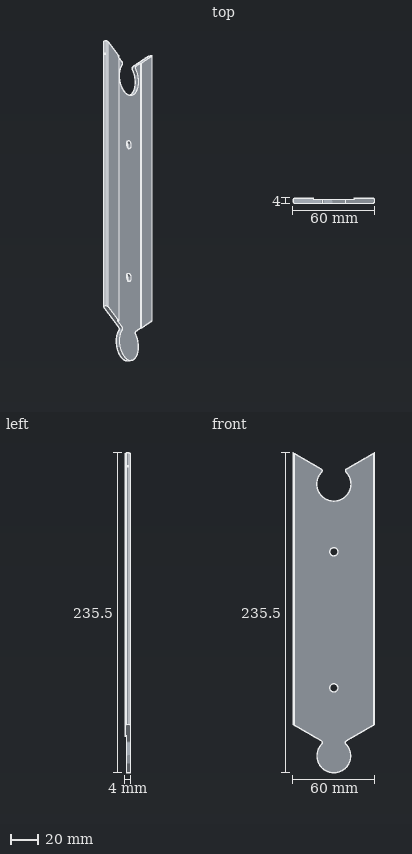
import cadquery as cq
import math

total_length = 235.5
width = 60.0
thickness = 4.0
edge_bevel = 1.0

joint_pitch = 200.0
knob_radius = 12.5
neck_radius = 1.5
shoulder_angle = math.radians(30)

channel_width = 30.0
channel_depth = 1.0

screw_hole_diameter = 6.0
screw_hole_spacing = 100.0
screw_hole_count = 2

pin_hole_diameter = 1.0
pin_hole_depth = 5.0
pin_hole_below_top = 10.0

half_width = width / 2
back_y = thickness / 2
knob_z = knob_radius
first_screw_z = knob_z + screw_hole_spacing / 2
pin_hole_z = total_length - pin_hole_below_top

corner_height = total_length - joint_pitch - knob_z
apex_height = corner_height - half_width * math.tan(shoulder_angle)

neck_distance = knob_radius + neck_radius
neck_offset = apex_height * math.cos(shoulder_angle) - neck_radius
neck_direction = shoulder_angle + math.asin(neck_offset / neck_distance)
neck_x = neck_distance * math.cos(neck_direction)
neck_height = neck_distance * math.sin(neck_direction)

shoulder_touch = shoulder_angle + math.pi / 2
knob_touch = neck_direction + math.pi
neck_middle = (shoulder_touch + knob_touch) / 2


def neck_point(side, centre_z, angle):
    """Point on the neck arc, on the right (side = 1) or the left (side = -1)."""
    x = neck_x + neck_radius * math.cos(angle)
    height = neck_height + neck_radius * math.sin(angle)
    return side * x, centre_z + height


def area_above_joint(centre_z):
    """Slab from the joint curve (shoulders, necks and a knob at centre_z) upward."""
    corner_z = centre_z + corner_height
    slab_top = corner_z + total_length
    return (
        cq.Workplane("XZ", origin=(0, back_y, 0))
        .moveTo(-half_width, corner_z)
        .lineTo(*neck_point(-1, centre_z, shoulder_touch))
        .threePointArc(neck_point(-1, centre_z, neck_middle), neck_point(-1, centre_z, knob_touch))
        .threePointArc((0, centre_z - knob_radius), neck_point(1, centre_z, knob_touch))
        .threePointArc(neck_point(1, centre_z, neck_middle), neck_point(1, centre_z, shoulder_touch))
        .lineTo(half_width, corner_z)
        .lineTo(half_width, slab_top)
        .lineTo(-half_width, slab_top)
        .close()
        .extrude(thickness)
    )


def channelled_bar():
    """Full-length bar with bevelled long edges and the channel along its back."""
    bar = cq.Workplane("XY").rect(width, thickness).extrude(total_length)
    bar = bar.edges("|Z").chamfer(edge_bevel)
    channel = (
        cq.Workplane("XY")
        .center(0, back_y - channel_depth / 2)
        .rect(channel_width, channel_depth)
        .extrude(total_length)
    )
    return bar.cut(channel)


def screw_holes():
    """Holes through the plate, in a row along its centre line."""
    centres = [(0, first_screw_z + i * screw_hole_spacing) for i in range(screw_hole_count)]
    return (
        cq.Workplane("XZ", origin=(0, back_y, 0))
        .pushPoints(centres)
        .circle(screw_hole_diameter / 2)
        .extrude(thickness)
    )


def pin_hole(side):
    """Blind hole running inward from the right (side = 1) or left (side = -1) edge."""
    return (
        cq.Workplane("YZ", origin=(side * half_width, 0, pin_hole_z))
        .circle(pin_hole_diameter / 2)
        .extrude(-side * pin_hole_depth)
    )


result = channelled_bar().intersect(area_above_joint(knob_z))
result = result.cut(area_above_joint(knob_z + joint_pitch))
result = result.cut(screw_holes())
for side in (-1, 1):
    result = result.cut(pin_hole(side))